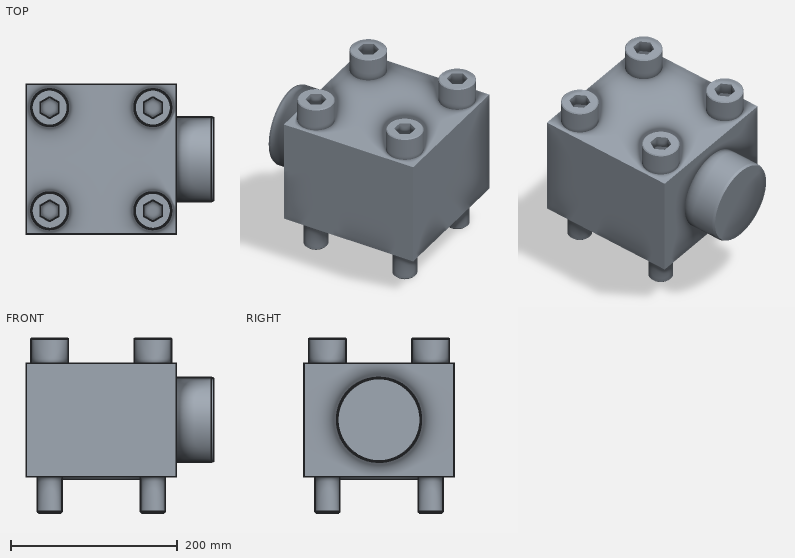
import cadquery as cq

block_side = 180.0
block_height = 136.5
flange_diameter = 135.0
flange_height = 3.0

pipe_diameter = 101.7
pipe_length = 45.0
pipe_chamfer_axial = 3.0
pipe_chamfer_radial = 1.4
pipe_height = 68.6

screw_spacing = 123.8
head_diameter = 45.0
head_height = 30.0
head_chamfer = 1.1
shank_diameter = 30.0
shank_length = 43.5
shank_chamfer = 2.2
socket_across_flats = 22.0
socket_depth = 15.0
HEX_CORNER_RATIO = 2 / 3 ** 0.5


def make_block():
    block = cq.Workplane("XY").rect(block_side, block_side).extrude(block_height)
    flange = cq.Workplane("XY").circle(flange_diameter / 2).extrude(-flange_height)
    return block.union(flange)


def make_pipe():
    return (
        cq.Workplane("YZ", origin=(block_side / 2, 0, pipe_height))
        .circle(pipe_diameter / 2)
        .extrude(pipe_length)
        .faces(">X")
        .chamfer(pipe_chamfer_axial, pipe_chamfer_radial)
    )


def make_screw():
    """Screw on the Z axis, with its head resting on top of the block."""
    head = (
        cq.Workplane("XY", origin=(0, 0, block_height))
        .circle(head_diameter / 2)
        .extrude(head_height)
        .faces(">Z")
        .chamfer(head_chamfer)
    )
    shank = (
        cq.Workplane("XY", origin=(0, 0, -shank_length))
        .circle(shank_diameter / 2)
        .extrude(shank_length + block_height)
        .faces("<Z")
        .chamfer(shank_chamfer)
    )
    socket = (
        cq.Workplane("XY", origin=(0, 0, block_height + head_height))
        .polygon(6, socket_across_flats * HEX_CORNER_RATIO)
        .extrude(-socket_depth)
        .rotate((0, 0, 0), (0, 0, 1), 90)
    )
    return shank.union(head).cut(socket)


result = make_block().union(make_pipe())
for x_side in (-1, 1):
    for y_side in (-1, 1):
        screw_place = (x_side * screw_spacing / 2, y_side * screw_spacing / 2, 0)
        result = result.union(make_screw().translate(screw_place))